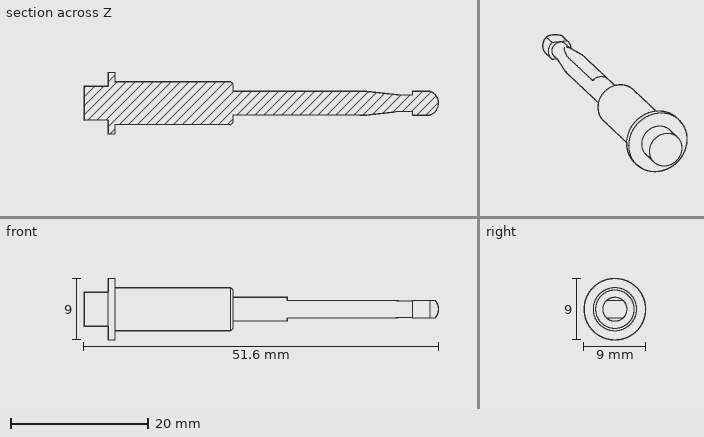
import cadquery as cq

TOTAL_LENGTH = 51.64
FLANGE_START = 3.5
FLANGE_THICKNESS = 1.0
BARREL_END = 21.7
BARREL_CHAMFER = 0.35
FLATS_START = 29.6
TAPER_START = 41.1
NECK_START = 45.9
HEAD_START = 47.8
DOME_START = 50.4

TAIL_DIAMETER = 5.0
FLANGE_DIAMETER = 9.0
BARREL_DIAMETER = 6.3
ROD_DIAMETER = 3.5
NECK_DIAMETER = 2.45

FLATS_WIDTH = 2.6


def stepped_body():
    """Tail, flange, barrel, rod, neck and domed head, revolved about the X axis."""
    tail_radius = TAIL_DIAMETER / 2
    flange_radius = FLANGE_DIAMETER / 2
    flange_end = FLANGE_START + FLANGE_THICKNESS
    barrel_radius = BARREL_DIAMETER / 2
    rod_radius = ROD_DIAMETER / 2
    neck_radius = NECK_DIAMETER / 2

    cap_height = TOTAL_LENGTH - DOME_START
    sphere_radius = (rod_radius**2 + cap_height**2) / (2 * cap_height)
    sphere_center = TOTAL_LENGTH - sphere_radius
    dome_mid_radius = rod_radius / 2
    dome_mid_x = sphere_center + (sphere_radius**2 - dome_mid_radius**2) ** 0.5

    profile = (
        cq.Workplane("XY")
        .moveTo(0, 0)
        .lineTo(0, tail_radius)
        .lineTo(FLANGE_START, tail_radius)
        .lineTo(FLANGE_START, flange_radius)
        .lineTo(flange_end, flange_radius)
        .lineTo(flange_end, barrel_radius)
        .lineTo(BARREL_END - BARREL_CHAMFER, barrel_radius)
        .lineTo(BARREL_END, barrel_radius - BARREL_CHAMFER)
        .lineTo(BARREL_END, rod_radius)
        .lineTo(TAPER_START, rod_radius)
        .lineTo(NECK_START, neck_radius)
        .lineTo(HEAD_START, neck_radius)
        .lineTo(HEAD_START, rod_radius)
        .lineTo(DOME_START, rod_radius)
        .threePointArc((dome_mid_x, dome_mid_radius), (TOTAL_LENGTH, 0))
        .close()
    )
    return profile.revolve(360, (0, 0, 0), (1, 0, 0))


def flat_cutter(side):
    """Block removing everything beyond one flat; side is +1 for top, -1 for bottom."""
    depth = ROD_DIAMETER / 2
    length = TOTAL_LENGTH - FLATS_START
    block = cq.Workplane("XY").box(length, ROD_DIAMETER, depth, centered=(False, True, True))
    return block.translate((FLATS_START, 0, side * (FLATS_WIDTH + depth) / 2))


result = stepped_body()
for flat_side in (1, -1):
    result = result.cut(flat_cutter(flat_side))